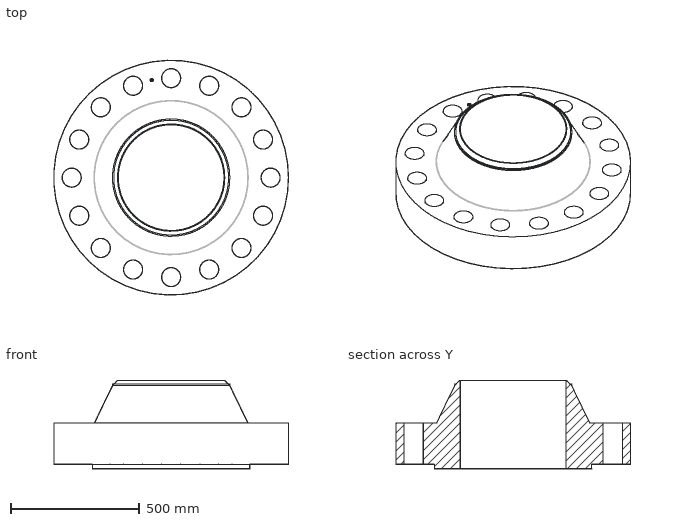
import math

import cadquery as cq

flange_diameter = 914.0
flange_thickness = 162.0

raised_face_diameter = 613.0
raised_face_height = 17.0

hub_base_diameter = 598.0
weld_end_diameter = 457.0
bevel_base_diameter = 447.0
weld_lip_diameter = 418.0
bore_diameter = 411.0
overall_height = 345.0
bevel_angle = 45
weld_land_height = 5.5
hub_root_fillet = 3.0

bolt_count = 16
bolt_hole_diameter = 73.0
bolt_circle_diameter = 774.0

small_hole_diameter = 6.0
small_hole_depth = 27.0
small_recess_diameter = 13.0
small_recess_depth = 3.0
small_hole_angle = 90 + 180 / bolt_count

flange_bottom = raised_face_height
flange_top = flange_bottom + flange_thickness
bevel_height = (bevel_base_diameter - weld_lip_diameter) / 2 * math.tan(math.radians(bevel_angle))
bevel_bottom = overall_height - bevel_height
taper_top = bevel_bottom - weld_land_height


def flange_body():
    """Revolve the half section of the plate, raised face, hub and bore about Z."""
    return (
        cq.Workplane("XZ")
        .moveTo(bore_diameter / 2, 0)
        .lineTo(raised_face_diameter / 2, 0)
        .lineTo(raised_face_diameter / 2, flange_bottom)
        .lineTo(flange_diameter / 2, flange_bottom)
        .lineTo(flange_diameter / 2, flange_top)
        .lineTo(hub_base_diameter / 2, flange_top)
        .lineTo(weld_end_diameter / 2, taper_top)
        .lineTo(weld_end_diameter / 2, bevel_bottom)
        .lineTo(bevel_base_diameter / 2, bevel_bottom)
        .lineTo(weld_lip_diameter / 2, overall_height)
        .lineTo(bore_diameter / 2, overall_height)
        .close()
        .revolve(360, (0, 0, 0), (0, 1, 0))
    )


def round_hub_root(body):
    """Round the corner where the tapered hub meets the plate."""
    corner = hub_base_diameter / 2
    margin = 1.0
    selector = cq.selectors.BoxSelector(
        (-corner - margin, -corner - margin, flange_top - margin),
        (corner + margin, corner + margin, flange_top + margin),
        boundingbox=True,
    )
    return body.edges(selector).fillet(hub_root_fillet)


def bolt_holes():
    """Through holes evenly spaced on the bolt circle."""
    return (
        cq.Workplane("XY")
        .workplane(offset=flange_bottom)
        .polarArray(bolt_circle_diameter / 2, 90, 360, bolt_count)
        .circle(bolt_hole_diameter / 2)
        .extrude(flange_thickness)
    )


def small_blind_cylinder(diameter, depth):
    """Cylinder sunk into the plate top on the bolt circle, midway between two bolt holes."""
    return (
        cq.Workplane("XY")
        .workplane(offset=flange_top - depth)
        .polarArray(bolt_circle_diameter / 2, small_hole_angle, 360, 1)
        .circle(diameter / 2)
        .extrude(depth)
    )


result = (
    round_hub_root(flange_body())
    .cut(bolt_holes())
    .cut(small_blind_cylinder(small_hole_diameter, small_hole_depth))
    .cut(small_blind_cylinder(small_recess_diameter, small_recess_depth))
)